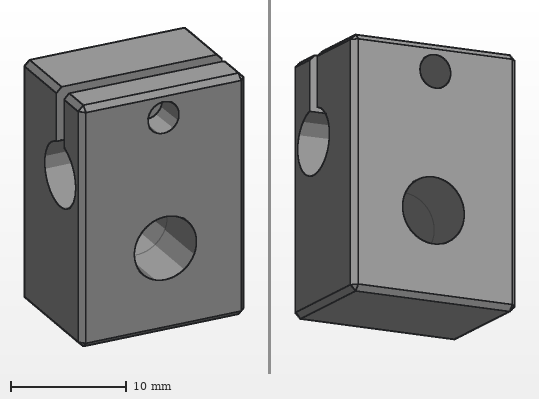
import cadquery as cq

width = 11.5
depth = 16.0
height = 23.0
edge_chamfer = 0.5

bore_diameter = 6.0
bore_x = 1.75
bore_z = 15.0
slot_width = 1.5

screw_diameter = 3.0
screw_y = 0.0
screw_z = 20.5
rod_diameter = bore_diameter
rod_y = 0.18
rod_z = height - bore_z


def hole_along_x(diameter, y, z):
    """Cylinder spanning the full width of the block."""
    return cq.Workplane("YZ").center(y, z).circle(diameter / 2).extrude(width / 2, both=True)


block = cq.Workplane("XY").box(width, depth, height, centered=(True, True, False))
block = block.edges().chamfer(edge_chamfer)

bore = cq.Workplane("XZ").center(bore_x, bore_z).circle(bore_diameter / 2).extrude(depth / 2, both=True)

slot = (
    cq.Workplane("XY")
    .box(slot_width, depth, height - bore_z, centered=(True, True, False))
    .translate((bore_x, 0, bore_z))
)

screw_hole = hole_along_x(screw_diameter, screw_y, screw_z)
rod_hole = hole_along_x(rod_diameter, rod_y, rod_z)

result = block.cut(bore).cut(slot).cut(screw_hole).cut(rod_hole)